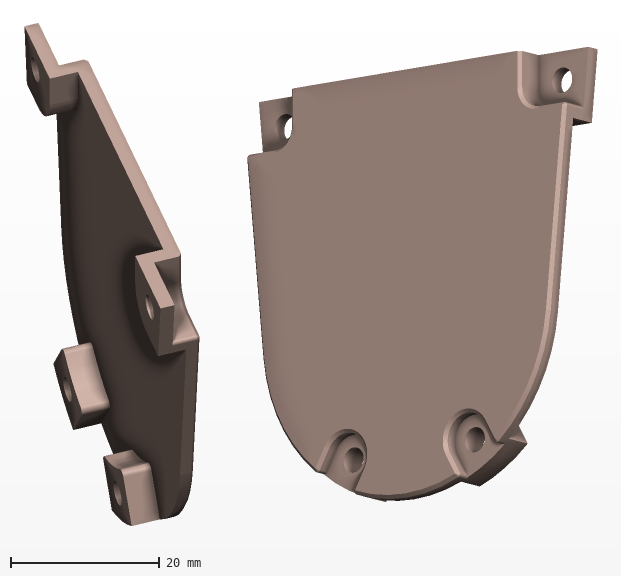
import cadquery as cq
import math

height = 59.0
top_half_width = 28.55
round_radius = 25.0
plate_thickness = 2.0
boss_depth = 4.0
total_depth = plate_thickness + boss_depth
edge_chamfer = 0.5
mouth_radius = 0.5
hole_radius = 1.74
past_edge = 5.9

corner_inner_x = 17.95
corner_bottom_z = 48.95
corner_radius = 5.0
corner_wall = 2.0
corner_floor = 2.0
corner_hole_x = 24.0
corner_hole_z = 55.0
recess_inner_x = corner_inner_x + corner_wall
recess_bottom_z = corner_bottom_z + corner_wall
recess_depth = total_depth - corner_floor
recess_radius = corner_radius - corner_wall

lower_angle = 30.0
lower_width = 9.6
lower_inner_radius = 17.1
lower_corner_radius = 0.9
lower_hole_distance = 21.0
slot_radius = 3.5

corner_rise = height - round_radius
corner_distance = math.hypot(top_half_width, corner_rise)
side_angle = math.atan2(corner_rise, top_half_width) - math.acos(round_radius / corner_distance)
tangent_x = round_radius * math.cos(side_angle)
tangent_z = round_radius + round_radius * math.sin(side_angle)


def plane_at(y):
    """XZ sketch plane at the given Y; positive extrusion goes towards -Y."""
    return cq.Workplane("XZ", origin=(0, y, 0))


def outline(y, depth):
    return (
        plane_at(y)
        .moveTo(-top_half_width, height)
        .lineTo(-tangent_x, tangent_z)
        .threePointArc((0, 0), (tangent_x, tangent_z))
        .lineTo(top_half_width, height)
        .close()
        .extrude(depth)
    )


def both_sides(shape):
    return shape.union(shape.mirror("YZ"))


def corner_block(inner_x, bottom_z, radius, depth):
    """Right-hand corner region with a rounded inner lower edge."""
    outer_x = top_half_width + past_edge
    return (
        plane_at(0)
        .moveTo(inner_x, height + past_edge)
        .lineTo(inner_x, bottom_z)
        .lineTo(outer_x, bottom_z)
        .lineTo(outer_x, height + past_edge)
        .close()
        .extrude(depth)
        .edges(cq.selectors.NearestToPointSelector((inner_x, -depth / 2, bottom_z)))
        .fillet(radius)
    )


def place_lower(shape):
    """Turn a feature from straight down to the right-hand boss position."""
    center = (0, 0, round_radius)
    return shape.rotate(center, (0, 1, round_radius), -lower_angle)


def lower_boss():
    block_top = round_radius - lower_inner_radius + 2 * lower_corner_radius
    block_height = block_top + past_edge
    block = (
        plane_at(0)
        .center(0, block_top - block_height / 2)
        .rect(lower_width, block_height)
        .extrude(total_depth)
    )
    inner_round = plane_at(0).center(0, round_radius).circle(lower_inner_radius).extrude(total_depth)
    block = block.cut(inner_round).edges("|Y and >Z").fillet(lower_corner_radius)
    return place_lower(block)


def lower_slot():
    """Round-ended screw-head slot, open through the curved rim."""
    hole_z = round_radius - lower_hole_distance
    end = plane_at(0).center(0, hole_z).circle(slot_radius).extrude(plate_thickness)
    run_length = hole_z + past_edge
    run = (
        plane_at(0)
        .center(0, hole_z - run_length / 2)
        .rect(2 * slot_radius, run_length)
        .extrude(plate_thickness)
    )
    return place_lower(end.union(run))


def mouth_points():
    """Right-hand (X, Z) points where the recess and slot walls meet the rim."""
    recess_x = top_half_width - (height - recess_bottom_z) * math.tan(-side_angle)
    points = [(recess_x, recess_bottom_z)]
    half_angle = math.asin(slot_radius / round_radius)
    for side in (-1, 1):
        angle = math.radians(lower_angle) + side * half_angle
        x = round_radius * math.sin(angle)
        z = round_radius - round_radius * math.cos(angle)
        points.append((x, z))
    return points


corner_boss = corner_block(corner_inner_x, corner_bottom_z, corner_radius, total_depth)
recess = corner_block(recess_inner_x, recess_bottom_z, recess_radius, recess_depth)
front_trim = outline(-plate_thickness, boss_depth)
body = outline(0, plate_thickness).union(both_sides(corner_boss).intersect(front_trim))
body = body.cut(both_sides(recess)).cut(both_sides(lower_slot()))

mouth_edges = []
for mouth_x, mouth_z in mouth_points():
    for hand in (-1, 1):
        middle = (hand * mouth_x, -plate_thickness / 2, mouth_z)
        mouth_edges.append(body.edges(cq.selectors.NearestToPointSelector(middle)).val())
body = body.newObject(mouth_edges).fillet(mouth_radius)

body = body.faces(">Y").edges("not >Z").chamfer(edge_chamfer)

result = body.union(both_sides(lower_boss()).intersect(front_trim))

lower_hole_x = lower_hole_distance * math.sin(math.radians(lower_angle))
lower_hole_z = round_radius - lower_hole_distance * math.cos(math.radians(lower_angle))
holes = [(corner_hole_x, corner_hole_z), (lower_hole_x, lower_hole_z)]
cutters = plane_at(0).pushPoints(holes).circle(hole_radius).extrude(total_depth)
result = result.cut(both_sides(cutters))